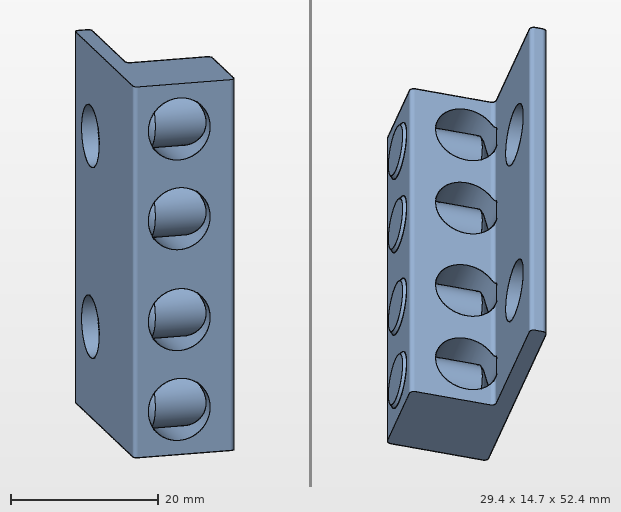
import cadquery as cq
import math

HEIGHT = 52.35
WIDTH = 29.4
BLOCK_DEPTH = 14.3
FLANGE_THICKNESS = 2.35
BLOCK_LEFT = 17.45
EDGE_RADIUS = 0.65

MOUNT_DIAMETER = 8.65
MOUNT_X = 7.9
MOUNT_OFFSET = 13.45

ACCESS_DIAMETER = 8.75
ACCESS_Y = 6.4
ACCESS_SPACING = 12.65

PIN_DIAMETER = 7.9
PIN_END_DIAMETER = 7.0
PIN_X = (BLOCK_LEFT + WIDTH) / 2
PIN_TOP = 14.7
PIN_SHOULDER = 3.15
TIP_ANGLE = 120.0
PIN_RADIUS = PIN_DIAMETER / 2
PIN_END_RADIUS = PIN_END_DIAMETER / 2
PIN_CHAMFER = PIN_RADIUS - PIN_END_RADIUS
TIP_LENGTH = PIN_END_RADIUS / math.tan(math.radians(TIP_ANGLE / 2))

MOUNT_HEIGHTS = [HEIGHT / 2 + side * MOUNT_OFFSET for side in (-1, 1)]
PIN_HEIGHTS = [z + side * ACCESS_SPACING / 2 for z in MOUNT_HEIGHTS for side in (-1, 1)]


def make_pin(z):
    """Round pin along Y, chamfered at both ends, with a conical tip toward -Y."""
    profile = (
        cq.Workplane("XY")
        .moveTo(0, PIN_SHOULDER - TIP_LENGTH)
        .lineTo(PIN_END_RADIUS, PIN_SHOULDER)
        .lineTo(PIN_RADIUS, PIN_SHOULDER + PIN_CHAMFER)
        .lineTo(PIN_RADIUS, PIN_TOP - PIN_CHAMFER)
        .lineTo(PIN_END_RADIUS, PIN_TOP)
        .lineTo(0, PIN_TOP)
        .close()
    )
    return profile.revolve(360, (0, 0, 0), (0, 1, 0)).translate((PIN_X, 0, z))


def make_body():
    """Flange and block in one piece, with every lengthwise edge rounded."""
    section = [
        (0, 0),
        (WIDTH, 0),
        (WIDTH, BLOCK_DEPTH),
        (BLOCK_LEFT, BLOCK_DEPTH),
        (BLOCK_LEFT, FLANGE_THICKNESS),
        (0, FLANGE_THICKNESS),
    ]
    return cq.Workplane("XY").polyline(section).close().extrude(HEIGHT).edges("|Z").fillet(EDGE_RADIUS)


def make_mount_hole(z):
    """Cutter along Y through the flange."""
    start = cq.Vector(MOUNT_X, 0, z)
    return cq.Solid.makeCylinder(MOUNT_DIAMETER / 2, FLANGE_THICKNESS, start, cq.Vector(0, 1, 0))


def make_access_hole(z):
    """Cutter along X through the block, also clearing the rounded inner corner at the flange."""
    start_x = BLOCK_LEFT - EDGE_RADIUS
    start = cq.Vector(start_x, ACCESS_Y, z)
    return cq.Solid.makeCylinder(ACCESS_DIAMETER / 2, WIDTH - start_x, start, cq.Vector(1, 0, 0))


pins = [make_pin(z) for z in PIN_HEIGHTS]

housing = make_body()
for z in MOUNT_HEIGHTS:
    housing = housing.cut(cq.Workplane(make_mount_hole(z)))
for z in PIN_HEIGHTS:
    housing = housing.cut(cq.Workplane(make_access_hole(z)))

for pin in pins:
    housing = housing.cut(pin)

result = cq.Compound.makeCompound([housing.solids().val(), *[pin.solids().val() for pin in pins]])